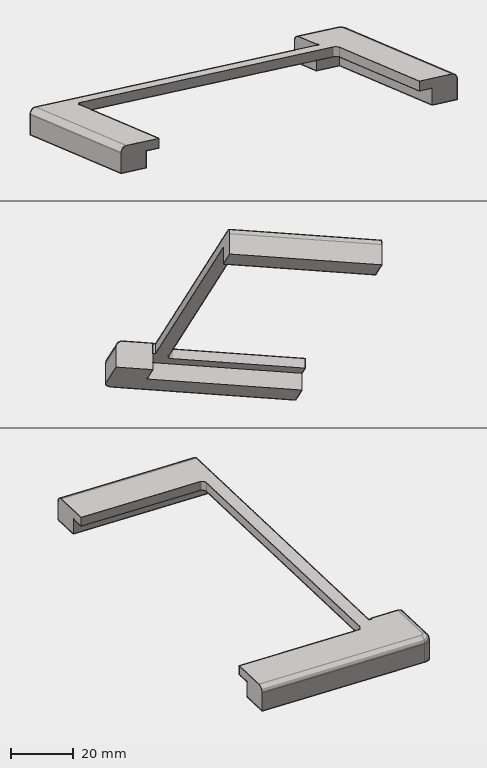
import cadquery as cq

length_x = 62.3
length_y = 131.5
height = 9.0

strip_left = 12.9
strip_width = 4.6
arm_width = 14.9
corner_pad_depth = 19.0
pad_step_depth = 0.4
inner_corner_radius = 1.51

plate_thickness = 3.3
rim_width = 9.9
corner_pad_width = 12.0

top_edge_radius = 2.1
pad_corner_radius = 3.0

strip_right = strip_left + strip_width
plate_bottom = height - plate_thickness


def block(x_min, x_max, y_min, y_max, z_min):
    """Box between the given limits, reaching up to the top face."""
    return cq.Workplane("XY").box(
        x_max - x_min, y_max - y_min, height - z_min, centered=False
    ).translate((x_min, y_min, z_min))


def make_plate():
    """Thin C-shaped plate with rounded inner corners."""
    plate = block(strip_left, length_x, 0, length_y, plate_bottom)
    opening = block(
        strip_right, length_x, arm_width, length_y - arm_width, plate_bottom
    ).edges("|Z and <X").fillet(inner_corner_radius)
    return plate.cut(opening)


def add_rims(plate):
    """Rims along both arms and the far left pad, with a small step between pad and strip."""
    pad_front = length_y - corner_pad_depth
    near_rim = block(strip_left, length_x, 0, rim_width, 0)
    far_rim = block(0, length_x, length_y - rim_width, length_y, 0)
    corner_pad = block(0, corner_pad_width, pad_front, length_y, 0)
    pad_top = block(0, strip_right, pad_front + pad_step_depth, length_y, plate_bottom)
    return plate.union(near_rim).union(far_rim).union(corner_pad).union(pad_top)


def round_outer_edges(body):
    """Round the pad's vertical corner, then the outer top edges."""
    body = body.edges("|Z and <X and >Y").fillet(pad_corner_radius)
    body = body.faces("<Y").edges(">Z").fillet(top_edge_radius)
    return body.faces(">Y").edges(">Z").fillet(top_edge_radius)


result = round_outer_edges(add_rims(make_plate()))